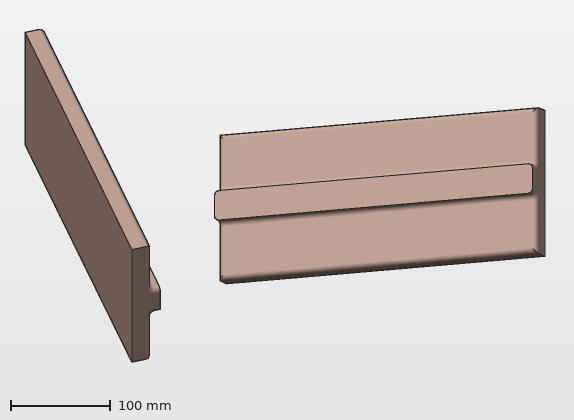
import cadquery as cq

length = 350.0
plate_height = 148.8
plate_thickness = 20.0

total_depth = 30.0
rail_height = 30.0

root_radius = 5.0
edge_radius = 5.0


def make_body():
    """T-shaped bar: the plate with its rail."""
    plate = cq.Workplane("XY").box(
        length, plate_thickness, plate_height, centered=(True, False, True)
    )
    rail = cq.Workplane("XY").box(
        length, total_depth, rail_height, centered=(True, False, True)
    )
    return plate.union(rail)


def round_rail_roots(body):
    """Blend both long inside corners between the rail and the plate."""
    half_rail = rail_height / 2
    for side in (-1, 1):
        root = cq.selectors.NearestToPointSelector((0, plate_thickness, side * half_rail))
        body = body.edges("|X").edges(root).fillet(root_radius)
    return body


def round_back_edges(body):
    """Round the outline of the plate's back and the end corners of the rail's sides."""
    half_length = length / 2
    half_height = plate_height / 2
    halfway_up = (half_height + rail_height / 2) / 2
    edges = cq.Workplane("XY")
    for side in (-1, 1):
        long_edge = (0, plate_thickness, side * half_height)
        edges = edges.add(body.edges(cq.selectors.NearestToPointSelector(long_edge)))
        for end in (-1, 1):
            end_edge = (end * half_length, plate_thickness, side * halfway_up)
            edges = edges.add(body.edges(cq.selectors.NearestToPointSelector(end_edge)))
    return body.newObject(edges.vals()).fillet(edge_radius)


result = round_back_edges(round_rail_roots(make_body()))